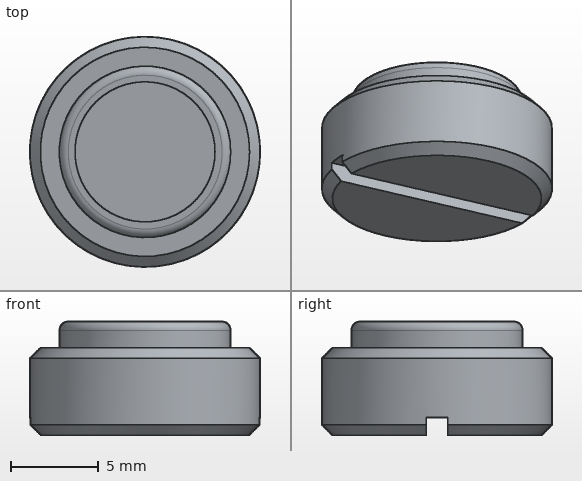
import cadquery as cq

housing_diameter = 13.16
housing_height = 5.0
housing_chamfer = 0.6
slot_width = 1.21
slot_depth = 1.01

overall_height = 6.5
button_height = overall_height - housing_height
button_diameter = 9.79
button_fillet = 0.5
recess_diameter = 8.0
recess_depth = 0.5


def make_housing():
    body = (
        cq.Workplane("XY")
        .circle(housing_diameter / 2)
        .extrude(housing_height)
        .faces("<Z or >Z")
        .chamfer(housing_chamfer)
    )
    slot = cq.Workplane("XY").box(
        housing_diameter, slot_width, slot_depth, centered=(True, True, False)
    )
    return body.cut(slot)


def make_button():
    body = (
        cq.Workplane("XY", origin=(0, 0, housing_height))
        .circle(button_diameter / 2)
        .extrude(button_height)
        .faces(">Z")
        .edges()
        .fillet(button_fillet)
    )
    recess = (
        cq.Workplane("XY", origin=(0, 0, overall_height - recess_depth))
        .circle(recess_diameter / 2)
        .extrude(recess_depth)
    )
    return body.cut(recess)


housing = make_housing()
button = make_button()
result = cq.Compound.makeCompound([housing.val(), button.val()])